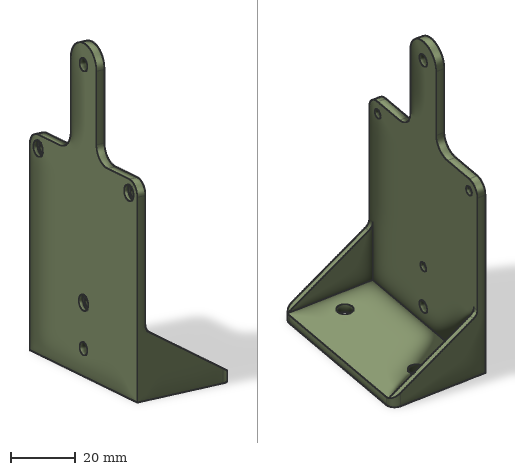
import cadquery as cq
import math

width = 59.2
depth = 35.0
height = 109.0

plate_thickness = 3.0
floor_thickness = 3.0
gusset_thickness = 2.0

shoulder_height = 71.9
shoulder_radius = 4.6
tab_radius = 7.1
tab_root_radius = 6.0

gusset_height = 23.1
gusset_blend_radius = 3.0
floor_corner_radius = 3.0

mount_hole_diameter = 4.3
lower_mount_height = 9.0
screw_hole_diameter = 3.2
screw_head_diameter = 5.2
screw_head_depth = 1.5
upper_screw_offset = 25.0
upper_screw_height = 67.3
lower_screw_height = 24.1

floor_hole_diameter = 5.3
floor_hole_offset = 19.5
floor_hole_y = 19.0

half_width = width / 2
tab_center_height = height - tab_radius


def make_plate():
    """Upright plate: front face on y = 0, with a rounded tab on top."""
    body = (
        cq.Workplane("XY")
        .box(width, plate_thickness, shoulder_height, centered=(True, False, False))
        .edges("|Y and >Z")
        .fillet(shoulder_radius)
    )
    tab = (
        cq.Workplane("XY")
        .box(2 * tab_radius, plate_thickness, tab_center_height, centered=(True, False, False))
        .union(rod_along_y(2 * tab_radius, 0, tab_center_height, plate_thickness))
    )
    plate = body.union(tab)
    for side in (-1, 1):
        plate = plate.union(make_tab_root(side))
    return plate


def make_tab_root(side):
    """Concave blend between the tab and one shoulder."""
    tab_edge = side * tab_radius
    center_x = side * (tab_radius + tab_root_radius)
    center_z = shoulder_height + tab_root_radius
    arc_reach = tab_root_radius * math.sqrt(0.5)
    return (
        cq.Workplane("XZ")
        .moveTo(tab_edge, shoulder_height)
        .lineTo(center_x, shoulder_height)
        .threePointArc((center_x - side * arc_reach, center_z - arc_reach), (tab_edge, center_z))
        .close()
        .extrude(-plate_thickness)
    )


def rod_along_y(diameter, x, z, length):
    """Cylinder from y = 0 toward the back of the part."""
    return cq.Workplane("XZ").center(x, z).circle(diameter / 2).extrude(-length)


def make_foot():
    """Floor with a sloping gusset at each side and rounded rear corners."""
    side_profile = (
        cq.Workplane("YZ", origin=(-half_width, 0, 0))
        .polyline([
            (0, 0),
            (depth, 0),
            (depth, floor_thickness),
            (plate_thickness, gusset_height),
            (plate_thickness, shoulder_height / 2),
            (0, shoulder_height / 2),
        ])
        .close()
        .extrude(width)
    )
    blend_edge = cq.selectors.NearestToPointSelector((0, plate_thickness, gusset_height))
    foot = side_profile.edges(blend_edge).fillet(gusset_blend_radius)
    cavity = (
        cq.Workplane("XY", origin=(0, plate_thickness, floor_thickness))
        .box(width - 2 * gusset_thickness, depth, height, centered=(True, False, False))
    )
    footprint = (
        cq.Workplane("XY")
        .box(width, depth, height, centered=(True, False, False))
        .edges("|Z and >Y")
        .fillet(floor_corner_radius)
    )
    return foot.cut(cavity).intersect(footprint)


def cut_plate_holes(part):
    """Two plain mounting holes and three counterbored screw holes."""
    for z in (lower_mount_height, tab_center_height):
        part = part.cut(rod_along_y(mount_hole_diameter, 0, z, plate_thickness))
    screw_places = [
        (-upper_screw_offset, upper_screw_height),
        (upper_screw_offset, upper_screw_height),
        (0, lower_screw_height),
    ]
    for x, z in screw_places:
        part = part.cut(rod_along_y(screw_hole_diameter, x, z, plate_thickness))
        part = part.cut(rod_along_y(screw_head_diameter, x, z, screw_head_depth))
    return part


def cut_floor_holes(part):
    """A pair of plain holes through the floor."""
    holes = (
        cq.Workplane("XY")
        .pushPoints([(-floor_hole_offset, floor_hole_y), (floor_hole_offset, floor_hole_y)])
        .circle(floor_hole_diameter / 2)
        .extrude(floor_thickness)
    )
    return part.cut(holes)


bracket = make_plate().union(make_foot())
result = cut_floor_holes(cut_plate_holes(bracket))